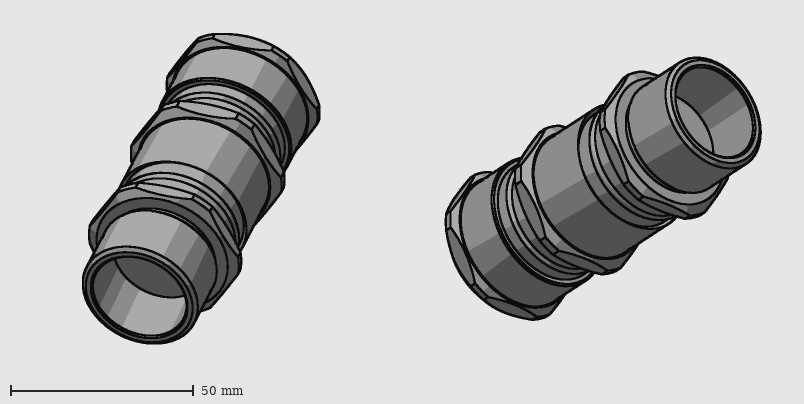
import cadquery as cq
import math

LENGTH = 96.0
ACROSS_FLATS = 40.0
ACROSS_CORNERS = ACROSS_FLATS / math.cos(math.radians(30))

THREAD_DIA = 33.2
THREAD_TIP_DIA = 30.8
THREAD_TIP_CHAMFER = 1.0
THREAD_END = 17.5
UNDERCUT_DIA = 30.8
UNDERCUT_START = 18.6

ENTRY_HEX_START = 20.1
ENTRY_HEX_END = 25.2
ENTRY_HEX_CORNER_DIA = 43.2
ENTRY_HEX_FACE_DIA = 37.8
ENTRY_HEX_CHAMFER = 1.4

BODY_DIA = 35.0
RING_DIA = 36.2
RING_WIDTH = 2.5
RING_CENTRE = 32.2

BARREL_DIA = 37.4
BARREL_START = 37.0
BARREL_MOUTH_DEPTH = 1.2
MIDDLE_HEX_START = 56.5
MIDDLE_HEX_END = 64.0
MIDDLE_HEX_FRONT_DIA = 38.2
MIDDLE_HEX_FRONT_CHAMFER = 1.8
MIDDLE_HEX_BACK_CHAMFER = 3.1
NUT_CORNER_DIA = 43.5

NECK_DIA = 33.0
NECK_END = 68.9
COLLAR_START = 70.1

SKIRT_DIA = 38.6
SKIRT_START = 73.9
SKIRT_CHAMFER = 0.5
CAP_HEX_START = 88.0
CAP_HEX_FRONT_DIA = 39.4
CAP_HEX_FRONT_CHAMFER = 1.5
CAP_HEX_BACK_CHAMFER = 4.4
CAP_END_DIA = 34.6

BORE_DIA = 27.0
BORE_MOUTH_DIA = 27.9
BORE_DEPTH = 18.0


def turned(stations):
    """Solid of revolution about Y through (y, diameter) stations, closed on the axis."""
    outline = [(dia / 2, y) for y, dia in stations]
    first_y = stations[0][0]
    last_y = stations[-1][0]
    points = [(0, first_y)] + outline + [(0, last_y)]
    return cq.Workplane("XY").polyline(points).close().revolve(360, (0, 0, 0), (0, 1, 0))


def hexagon(start, end, corner_dia, front_dia, front_chamfer, back_dia, back_chamfer):
    """Hexagon with flats facing +Z and -Z, its corners turned down to a coned blank."""
    blank = turned([
        (start, front_dia),
        (start + front_chamfer, corner_dia),
        (end - back_chamfer, corner_dia),
        (end, back_dia),
    ])
    prism = (
        cq.Workplane("XZ", origin=(0, start, 0))
        .polygon(6, ACROSS_CORNERS)
        .extrude(start - end)
    )
    return blank.intersect(prism)


def sealing_ring():
    """Rounded bead standing proud of the entry body."""
    half_width = RING_WIDTH / 2
    body_radius = BODY_DIA / 2
    return (
        cq.Workplane("XY")
        .moveTo(0, RING_CENTRE - half_width)
        .lineTo(body_radius, RING_CENTRE - half_width)
        .threePointArc((RING_DIA / 2, RING_CENTRE), (body_radius, RING_CENTRE + half_width))
        .lineTo(0, RING_CENTRE + half_width)
        .close()
        .revolve(360, (0, 0, 0), (0, 1, 0))
    )


def bore():
    """Flat-bottomed hole with a 45 degree mouth chamfer."""
    mouth_chamfer = (BORE_MOUTH_DIA - BORE_DIA) / 2
    return turned([(0, BORE_MOUTH_DIA), (mouth_chamfer, BORE_DIA), (BORE_DEPTH, BORE_DIA)])


core = turned([
    (0, THREAD_TIP_DIA),
    (THREAD_TIP_CHAMFER, THREAD_DIA),
    (THREAD_END, THREAD_DIA),
    (UNDERCUT_START, UNDERCUT_DIA),
    (ENTRY_HEX_START, UNDERCUT_DIA),
    (ENTRY_HEX_START, BODY_DIA),
    (BARREL_START + BARREL_MOUTH_DEPTH, BODY_DIA),
    (BARREL_START, BARREL_DIA),
    (MIDDLE_HEX_START, BARREL_DIA),
    (MIDDLE_HEX_START, NECK_DIA),
    (NECK_END, NECK_DIA),
    (COLLAR_START, BODY_DIA),
    (SKIRT_START, BODY_DIA),
    (SKIRT_START, SKIRT_DIA - 2 * SKIRT_CHAMFER),
    (SKIRT_START + SKIRT_CHAMFER, SKIRT_DIA),
    (CAP_HEX_START, SKIRT_DIA),
    (CAP_HEX_START, CAP_END_DIA),
    (LENGTH, CAP_END_DIA),
])

entry_hex = hexagon(
    ENTRY_HEX_START, ENTRY_HEX_END, ENTRY_HEX_CORNER_DIA,
    ENTRY_HEX_FACE_DIA, ENTRY_HEX_CHAMFER, ENTRY_HEX_FACE_DIA, ENTRY_HEX_CHAMFER,
)
middle_hex = hexagon(
    MIDDLE_HEX_START, MIDDLE_HEX_END, NUT_CORNER_DIA,
    MIDDLE_HEX_FRONT_DIA, MIDDLE_HEX_FRONT_CHAMFER, NECK_DIA, MIDDLE_HEX_BACK_CHAMFER,
)
cap_hex = hexagon(
    CAP_HEX_START, LENGTH, NUT_CORNER_DIA,
    CAP_HEX_FRONT_DIA, CAP_HEX_FRONT_CHAMFER, CAP_END_DIA, CAP_HEX_BACK_CHAMFER,
)

result = core.union(sealing_ring()).union(entry_hex).union(middle_hex).union(cap_hex).cut(bore())